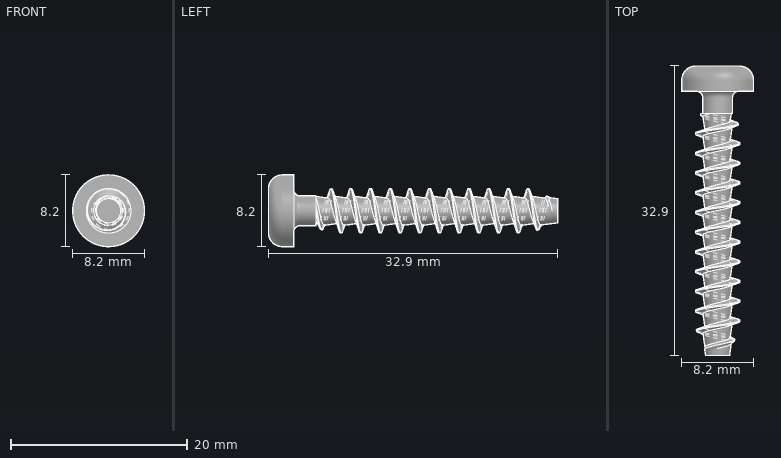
import cadquery as cq
import math

total_length = 32.9
head_diameter = 8.2
head_height = 2.9
head_round = 1.6
shank_radius = 1.7
shank_length = 2.5
neck_fillet = 0.7

pitch = 2.25
crest_radius = 2.53
crest_half_width = 0.05
foot_radius = 1.68
foot_half_width = 0.33
root_radius = 1.45
root_offset = 0.35
tip_radius = 1.38
tip_slope = 0.13
flight_at_minus_x = -4.8
run_in_length = 3.3
run_out_start = -26.48
run_out_length = 2.95
points_per_turn = 16

head_radius = head_diameter / 2
tip_z = head_height - total_length
shank_end_z = -shank_length

turns_to_tip = math.ceil((flight_at_minus_x - tip_z) / pitch) + 1
first_turn_z = flight_at_minus_x - (turns_to_tip + 0.5) * pitch
turn_count = turns_to_tip + 3


def make_head_and_shank():
    """Revolve the rounded head, the filleted neck and the plain shank."""
    diagonal = math.sqrt(0.5)
    round_center_r = head_radius - head_round
    round_center_z = head_height - head_round
    fillet_center_r = shank_radius + neck_fillet
    outline = (
        cq.Workplane("XZ")
        .moveTo(0, head_height)
        .lineTo(round_center_r, head_height)
        .threePointArc(
            (round_center_r + head_round * diagonal, round_center_z + head_round * diagonal),
            (head_radius, round_center_z),
        )
        .lineTo(head_radius, 0)
        .lineTo(fillet_center_r, 0)
        .threePointArc(
            (fillet_center_r - neck_fillet * diagonal, -neck_fillet + neck_fillet * diagonal),
            (shank_radius, -neck_fillet),
        )
        .lineTo(shank_radius, shank_end_z)
        .lineTo(0, shank_end_z)
        .close()
    )
    return outline.revolve(360, (0, 0), (0, 1))


def smooth_step(fraction):
    """Ease from 0 to 1, clamped outside that range."""
    t = min(max(fraction, 0.0), 1.0)
    return t * t * (3 - 2 * t)


def tip_cone_radius_at(z):
    """Radius of the taper that narrows the core at the tip."""
    return tip_radius + tip_slope * (z - tip_z)


def root_radius_at(z):
    """Smallest core radius, next to the headward side of the flight."""
    return min(root_radius, tip_cone_radius_at(z))


def foot_radius_at(z):
    """Largest core radius, next to the tipward side of the flight."""
    return min(foot_radius, tip_cone_radius_at(z))


def crest_radius_at(z):
    """Radius of the flight's crest, fading out at both ends of the thread."""
    run_in = smooth_step((shank_end_z + pitch / 2 - z) / run_in_length)
    run_out = smooth_step((run_out_start - z) / run_out_length)
    base = foot_radius_at(z)
    return base + (crest_radius - base) * (run_in - run_out)


def spiral_edge(turn, radius_at, offset):
    """One right-handed turn, shifted along the axis from the middle of the flight."""
    points = []
    for i in range(points_per_turn + 1):
        angle = 2 * math.pi * i / points_per_turn
        z = first_turn_z + pitch * (turn + i / points_per_turn) + offset
        radius = radius_at(z)
        points.append(cq.Vector(radius * math.cos(angle), radius * math.sin(angle), z))
    return cq.Edge.makeSpline(points)


def turn_edges(turn):
    """Spiral edges of one turn, from its headward root to the root it shares with the turn below."""
    return [
        spiral_edge(turn, root_radius_at, root_offset),
        spiral_edge(turn, crest_radius_at, crest_half_width),
        spiral_edge(turn, crest_radius_at, -crest_half_width),
        spiral_edge(turn, foot_radius_at, -foot_half_width),
        spiral_edge(turn, root_radius_at, root_offset - pitch),
    ]


def axis_edge(spiral):
    """Stretch of the screw axis level with a spiral edge."""
    start_z, end_z = (spiral.positionAt(end).z for end in (0, 1))
    return cq.Edge.makeLine(cq.Vector(0, 0, start_z), cq.Vector(0, 0, end_z))


def radial_cap(edges, end):
    """Flat face from the axis to the thread profile at one end (0 or 1) of a turn."""
    profile = [edge.positionAt(end) for edge in edges]
    axis_points = [cq.Vector(0, 0, profile[i].z) for i in (-1, 0)]
    return cq.Face.makeFromWires(cq.Wire.makePolygon(profile + axis_points, close=True))


def make_threaded_rod():
    """Sew the turns into a solid with helical ends, then cut both ends flat."""
    turns = [turn_edges(turn) for turn in range(turn_count)]
    faces = []
    for edges in turns:
        faces += [cq.Face.makeRuledSurface(a, b) for a, b in zip(edges, edges[1:])]
    bottom_spiral = turns[0][-1]
    top_spiral = turns[-1][0]
    faces += [
        cq.Face.makeRuledSurface(axis_edge(bottom_spiral), bottom_spiral),
        cq.Face.makeRuledSurface(axis_edge(top_spiral), top_spiral),
        radial_cap(turns[0], 0),
        radial_cap(turns[-1], 1),
    ]
    rod = cq.Solid.makeSolid(cq.Shell.makeShell(faces)).fix()
    envelope = cq.Workplane("XY").workplane(offset=tip_z).circle(head_radius).extrude(shank_end_z - tip_z)
    return envelope.intersect(cq.Workplane(rod))


screw = make_threaded_rod().union(make_head_and_shank())
screw = cq.Workplane(screw.solids().val())
result = screw.rotate((0, 0, 0), (1, 0, 0), -90)